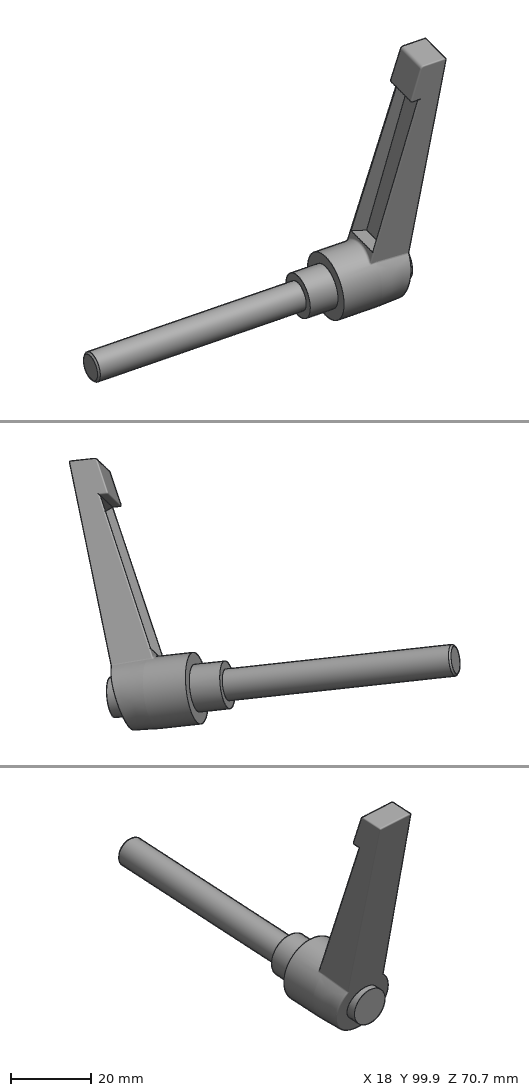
import cadquery as cq
import math


hub_radius = 9.0
hub_straight_length = 11.1
hub_taper_angle = 2.4
collar_radius = 6.0
collar_length = 8.0
stud_radius = 4.0
stud_length = 60.0
stud_chamfer = 0.5
button_radius = 5.1
button_back_y = 22.1

grip_top_z = 61.69
grip_back_y = 31.99
back_slope = 0.204
front_slope = 0.32
foot_y = 9.5
foot_z = 7.0
hook_lip_y = 21.5
hook_lip_z = 51.8
grip_base_width = 11.95
grip_top_width = 10.35
edge_fillet = 0.38
hook_top_fillet = 1.0
foot_blend = 0.5

side_wall = 0.55
pocket_mouth_z = 9.9
pocket_bottom_depth = 4.5
pocket_top_depth = 3.1
pocket_top_drop = 1.6


def back_y(z):
    """Y of the inclined back plane at height z."""
    return grip_back_y - back_slope * (grip_top_z - z)


def front_y(z):
    """Y of the grip's front face below the hook at height z."""
    return foot_y + front_slope * (z - foot_z)


def cylinder(radius, y_from, y_to):
    """Solid cylinder on the stud axis."""
    return cq.Workplane("XZ", origin=(0, y_to, 0)).circle(radius).extrude(y_to - y_from)


def make_hub():
    """Revolved hub with a slightly tapered rear, cut off along the grip's back plane."""
    rear_y = back_y(hub_radius)
    rear_radius = hub_radius - (rear_y - hub_straight_length) * math.tan(math.radians(hub_taper_angle))
    body = (
        cq.Workplane("XY")
        .moveTo(0, 0)
        .lineTo(hub_radius, 0)
        .lineTo(hub_radius, hub_straight_length)
        .lineTo(rear_radius, rear_y)
        .lineTo(0, rear_y)
        .close()
        .revolve(360, (0, 0, 0), (0, 1, 0))
    )
    in_front_of_back_plane = (
        cq.Workplane("YZ")
        .polyline([
            (0, -hub_radius),
            (back_y(-hub_radius), -hub_radius),
            (back_y(hub_radius), hub_radius),
            (0, hub_radius),
        ])
        .close()
        .extrude(hub_radius, both=True)
    )
    hub = body.intersect(in_front_of_back_plane)
    return hub.faces(">Y").edges().fillet(edge_fillet)


def width_prism(inset=0.0):
    """Prism along Y bounding the grip's width, with its tapered sides moved inwards by the inset."""
    base_x = grip_base_width / 2 - inset
    top_x = grip_top_width / 2 - inset
    return (
        cq.Workplane("XZ", origin=(0, grip_back_y, 0))
        .polyline([
            (-base_x, 0),
            (-top_x, grip_top_z),
            (top_x, grip_top_z),
            (base_x, 0),
        ])
        .close()
        .extrude(grip_back_y)
    )


def make_grip():
    """Inclined grip with a hook at its end; the width tapers towards the top."""
    hook_top_y = hook_lip_y + front_slope * (grip_top_z - hook_lip_z)
    side_profile = (
        cq.Workplane("YZ")
        .polyline([
            (back_y(0), 0),
            (grip_back_y, grip_top_z),
            (hook_top_y, grip_top_z),
            (hook_lip_y, hook_lip_z),
            (front_y(hook_lip_z), hook_lip_z),
            (front_y(0), 0),
        ])
        .close()
        .extrude(hub_radius, both=True)
    )
    hook_edge = cq.selectors.NearestToPointSelector((0, hook_top_y, grip_top_z))
    grip = side_profile.edges(hook_edge).fillet(hook_top_fillet).intersect(width_prism())
    return round_outer_edges(grip)


def round_outer_edges(grip):
    """Round the grip's edges, leaving the inner corner under the hook and the buried foot sharp."""
    notch = cq.Vector(0, front_y(hook_lip_z), hook_lip_z)
    outer_edges = [
        edge
        for edge in grip.edges().vals()
        if edge.Center().z > edge_fillet and (edge.Center() - notch).Length > edge_fillet
    ]
    return grip.newObject(outer_edges).fillet(edge_fillet)


def make_pocket():
    """Cutter for the open pocket below the hook."""
    mouth_y = front_y(pocket_mouth_z)
    mouth_overrun = 1.0
    bottom_z = pocket_mouth_z - front_slope * pocket_bottom_depth
    notch_y = front_y(hook_lip_z)
    side_profile = (
        cq.Workplane("YZ")
        .polyline([
            (notch_y + pocket_top_depth, hook_lip_z - pocket_top_drop),
            (notch_y, hook_lip_z),
            (hook_lip_y, hook_lip_z),
            (mouth_y - mouth_overrun, pocket_mouth_z + front_slope * mouth_overrun),
            (mouth_y, pocket_mouth_z),
            (mouth_y + pocket_bottom_depth, bottom_z),
        ])
        .close()
        .extrude(hub_radius, both=True)
    )
    return side_profile.intersect(width_prism(side_wall))


def make_stud():
    """Collar and chamfered stud in front of the hub, and the button behind it."""
    stud_end_y = -collar_length - stud_length
    stud = cylinder(stud_radius, stud_end_y, 0).faces("<Y").chamfer(stud_chamfer)
    collar = cylinder(collar_radius, -collar_length, 0)
    button = cylinder(button_radius, 0, button_back_y)
    return stud.union(collar).union(button)


def join_grip_and_hub():
    """Hub and grip in one, with a small blend where the grip's front face runs into the hub."""
    body = make_hub().union(make_grip())
    foot_arc_middle = (0, front_y(hub_radius), hub_radius)
    foot_arc = cq.selectors.NearestToPointSelector(foot_arc_middle)
    return body.edges(foot_arc).fillet(foot_blend)


result = join_grip_and_hub().cut(make_pocket()).union(make_stud())